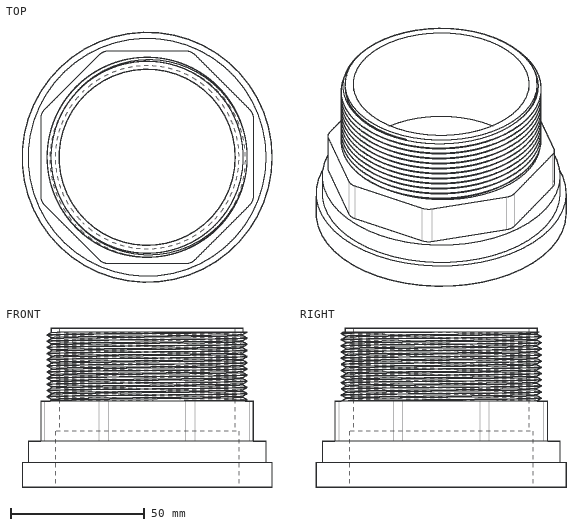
import cadquery as cq
import math

total_height = 59.8
flange_diameter = 94.0
flange_height = 9.4
collar_diameter = 89.4
collar_top = 17.4
octagon_across_flats = 79.9
octagon_corner_radius = 5.0
octagon_top = 32.4

bore_diameter = 66.1
lower_bore_diameter = 69.0
bore_step_height = 21.2

thread_major_diameter = 75.2
thread_minor_diameter = 72.2
thread_turns = 11
thread_turns_height = 25.5
thread_pitch = thread_turns_height / thread_turns
thread_top = 58.4
thread_start_offset = 0.5
crest_width = 0.14
root_gap = 0.5
root_overlap = 0.3


def cylinder(diameter, bottom, top):
    return cq.Workplane("XY").workplane(offset=bottom).circle(diameter / 2).extrude(top - bottom)


def octagon():
    """Wrench grip with flats square to X and Y."""
    sides = 8
    corner_diameter = octagon_across_flats / math.cos(math.pi / sides)
    return (
        cq.Workplane("XY")
        .workplane(offset=collar_top)
        .polygon(sides, corner_diameter)
        .extrude(octagon_top - collar_top)
        .rotate((0, 0, 0), (0, 0, 1), 180 / sides)
        .edges("|Z")
        .fillet(octagon_corner_radius)
    )


def thread():
    """Helical ridge whose crest crosses +X just above the octagon, trimmed flat at both ends."""
    minor_radius = thread_minor_diameter / 2
    depth = (thread_major_diameter - thread_minor_diameter) / 2
    half_crest = crest_width / 2
    half_root = (thread_pitch - root_gap) / 2
    half_base = half_root + (half_root - half_crest) * root_overlap / depth
    base_radius = minor_radius - root_overlap

    helix_start = octagon_top + thread_start_offset - thread_pitch
    helix_height = thread_top + thread_pitch - helix_start

    def helix(radius, offset):
        wire = cq.Wire.makeHelix(thread_pitch, helix_height, radius)
        return wire.translate(cq.Vector(0, 0, helix_start + offset))

    base_low = helix(base_radius, -half_base)
    base_high = helix(base_radius, half_base)
    crest_low = helix(minor_radius + depth, -half_crest)
    crest_high = helix(minor_radius + depth, half_crest)
    rails = [base_low, crest_low, crest_high, base_high]
    faces = []
    for index, rail in enumerate(rails):
        next_rail = rails[(index + 1) % len(rails)]
        faces.extend(cq.Face.makeRuledSurface(rail, next_rail).Faces())
    for end in (0, 1):
        corners = [rail.startPoint() if end == 0 else rail.endPoint() for rail in rails]
        faces.append(cq.Face.makeFromWires(cq.Wire.makePolygon(corners, close=True)))
    ridge = cq.Workplane(obj=cq.Solid.makeSolid(cq.Shell.makeShell(faces)))
    return ridge.intersect(cylinder(flange_diameter, octagon_top, thread_top))


body = cylinder(flange_diameter, 0, flange_height)
body = body.union(cylinder(collar_diameter, flange_height, collar_top))
body = body.union(octagon())
body = body.union(cylinder(thread_minor_diameter, octagon_top, total_height))
body = body.union(thread())
body = body.cut(cylinder(bore_diameter, 0, total_height))
result = body.cut(cylinder(lower_bore_diameter, 0, bore_step_height))